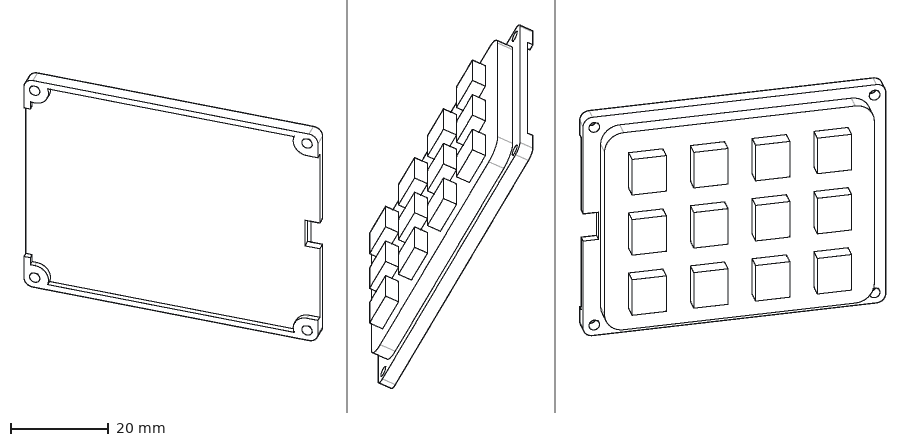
import cadquery as cq

plate_length = 63.6
plate_height = 50.8
plate_thickness = 3.0
plate_corner_radius = 2.0

recess_depth = 1.2
rim_width = 1.35

hole_diameter = 2.2
hole_inset_x = 2.35
hole_inset_z = 2.4
boss_radius = 3.0
tab_width = 1.4
tab_reach = 7.1

notch_depth = 3.25
notch_height = 6.3

platform_thickness = 3.45
platform_left_inset = 3.25
platform_right_inset = 3.7
platform_height_inset = 2.5
platform_corner_radius = 4.0

pad_thickness = 3.0
pad_length = 7.2
pad_height = 8.25
pad_columns = 4
pad_rows = 3
pad_pitch_x = 13.0
pad_pitch_z = 14.0

half_length = plate_length / 2
half_height = plate_height / 2
hole_x = half_length - hole_inset_x
hole_z = half_height - hole_inset_z
platform_back = plate_thickness + platform_thickness


def block(x_start, x_end, z_start, z_end, y_start, y_end):
    """Box spanning the given ranges; the X and Z ranges may run in either direction."""
    length = abs(x_end - x_start)
    height = abs(z_end - z_start)
    center = ((x_start + x_end) / 2, (y_start + y_end) / 2, (z_start + z_end) / 2)
    return cq.Workplane("XY").box(length, y_end - y_start, height).translate(center)


def cylinder(x, z, radius, y_end):
    """Cylinder along Y from the front face to y_end."""
    return cq.Workplane("XZ").center(x, z).circle(radius).extrude(-y_end)


def make_plate():
    plate = block(-half_length, half_length, -half_height, half_height, 0, plate_thickness)
    return plate.edges("|Y").fillet(plate_corner_radius)


def make_corner_boss(side_x, side_z):
    """Round boss about a screw hole, extended straight out to the nearest X edge."""
    x = side_x * hole_x
    z = side_z * hole_z
    boss = cylinder(x, z, boss_radius, recess_depth)
    extension = block(
        x, side_x * half_length, z - side_z * boss_radius, side_z * half_height, 0, recess_depth
    )
    return boss.union(extension)


def make_edge_tab(side_z):
    """Short length of rim running along the -X edge from a corner."""
    return block(
        -half_length, -half_length + tab_width,
        side_z * (half_height - tab_reach), side_z * half_height,
        0, recess_depth,
    )


def make_recess():
    recess_half_height = half_height - rim_width
    recess = block(
        -half_length, half_length, -recess_half_height, recess_half_height, 0, recess_depth
    )
    for side_z in (-1, 1):
        recess = recess.cut(make_edge_tab(side_z))
        for side_x in (-1, 1):
            recess = recess.cut(make_corner_boss(side_x, side_z))
    return recess


def make_screw_holes():
    points = [(side_x * hole_x, side_z * hole_z) for side_x in (-1, 1) for side_z in (-1, 1)]
    return cq.Workplane("XZ").pushPoints(points).circle(hole_diameter / 2).extrude(-plate_thickness)


def make_notch():
    return block(
        half_length - notch_depth, half_length, -notch_height / 2, notch_height / 2, 0, plate_thickness
    )


def make_platform():
    platform_half_height = half_height - platform_height_inset
    platform = block(
        -half_length + platform_left_inset, half_length - platform_right_inset,
        -platform_half_height, platform_half_height,
        plate_thickness, platform_back,
    )
    return platform.edges("|Y").fillet(platform_corner_radius)


def make_pads():
    return (
        cq.Workplane("XZ", origin=(0, platform_back, 0))
        .rarray(pad_pitch_x, pad_pitch_z, pad_columns, pad_rows)
        .rect(pad_length, pad_height)
        .extrude(-pad_thickness)
    )


result = (
    make_plate()
    .cut(make_recess())
    .cut(make_screw_holes())
    .cut(make_notch())
    .union(make_platform())
    .union(make_pads())
)